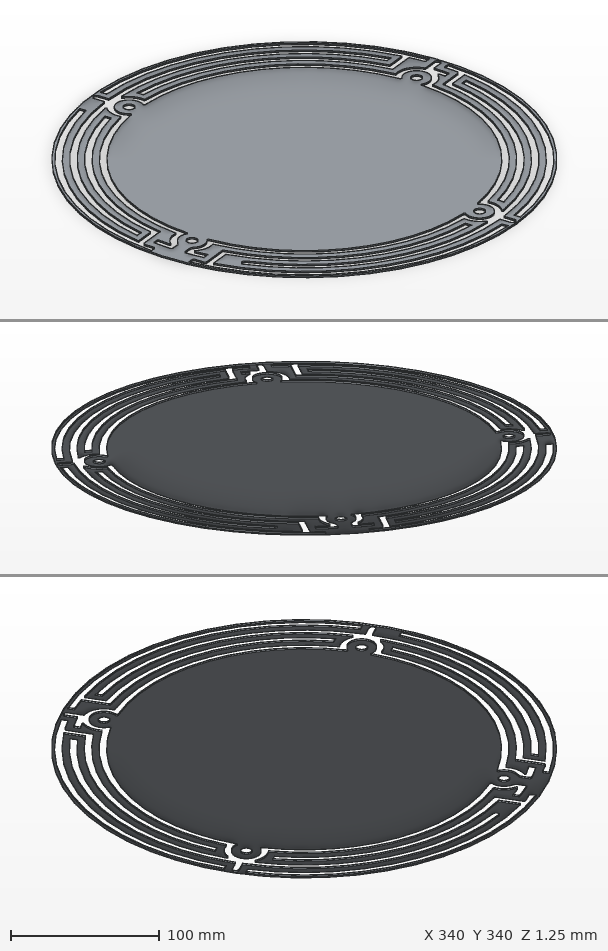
import cadquery as cq
import math

thickness = 1.25
outer_radius = 170.0
rim_radius = 168.0
core_radius = 133.0
lane_count = 7
lane_width = (rim_radius - core_radius) / lane_count

CORE_LANE = 0
INNER_LANE = 2
MIDDLE_LANE = 4
OUTER_LANE = 6

boss_center_radius = 140.0
boss_radius = 2 * lane_width
boss_hole_radius = 4.0
gap_radius = boss_radius + lane_width

half_slot = lane_width / 2
axis_bar = half_slot + lane_width
one_bar = gap_radius + lane_width
two_bars = one_bar + lane_width
three_bars = two_bars + lane_width
four_bars = three_bars + lane_width
round_slot_end = 45.0

neck_half_width = 4.8
axis_slot_tip = 168.5
ledge_y = 162.2

corner_round = 1.7
neck_blend = 5.0
tip_round = 0.7
small_round = 1.0


def lane_inner(lane):
    return core_radius + lane * lane_width


def across(radius, distance):
    """Other coordinate of the point on a circle about the origin, one coordinate being given."""
    return math.sqrt(radius**2 - distance**2)


def disc(radius, x=0, y=0):
    return cq.Workplane("XY").center(x, y).circle(radius).extrude(thickness)


def block(x_start, x_end, y_start, y_end):
    """Rectangular prism between two opposite corners."""
    return (
        cq.Workplane("XY")
        .center((x_start + x_end) / 2, (y_start + y_end) / 2)
        .rect(abs(x_end - x_start), abs(y_end - y_start))
        .extrude(thickness)
    )


def ring(lane):
    inner = lane_inner(lane)
    return disc(inner + lane_width).cut(disc(inner))


def lane_slot(lane, side_x, side_y, x_end, y_end, x_limit=outer_radius):
    """Part of a lane in one quadrant, with straight ends at the given distances from the axes."""
    window = block(side_x * x_end, side_x * x_limit, side_y * y_end, side_y * outer_radius)
    return ring(lane).intersect(window)


def cross_slot(side_x, side_y, x_start):
    """Slot parallel to Y that joins the inner and outer lanes."""
    window = block(side_x * x_start, side_x * (x_start + lane_width), 0, side_y * outer_radius)
    band = disc(lane_inner(OUTER_LANE) + half_slot).cut(disc(lane_inner(INNER_LANE)))
    return band.intersect(window)


def meander(side_x, side_y, cross_start, outer_x_end, outer_y_end):
    """Inner and outer lane joined by a cross slot into one winding slot."""
    return (
        lane_slot(INNER_LANE, side_x, side_y, cross_start, one_bar)
        .union(lane_slot(OUTER_LANE, side_x, side_y, outer_x_end, outer_y_end))
        .union(cross_slot(side_x, side_y, cross_start))
    )


def axis_slot(angle):
    """Round-ended slot along an axis, from the boss gap into the rim."""
    start = boss_center_radius
    straight_end = axis_slot_tip - half_slot
    slot = block(start, straight_end, -half_slot, half_slot).union(disc(half_slot, straight_end))
    return slot.rotate((0, 0, 0), (0, 0, 1), angle)


def round_ended_slot(x_end):
    """Middle lane of the lower right quadrant, with a fully round end."""
    radius = lane_inner(MIDDLE_LANE) + half_slot
    center_x = x_end + half_slot
    center_y = -across(radius, center_x)
    slot = lane_slot(MIDDLE_LANE, 1, -1, center_x, 0)
    return slot.union(disc(half_slot, center_x, center_y))


def round_corner(part, x, y, size):
    """Round the upright edge nearest to the given point."""
    corner = cq.NearestToPointSelector((x, y, thickness / 2))
    return part.edges("|Z").edges(corner).fillet(size)


def circle_crossing(radius, boss_circle_radius):
    """Crossing of a circle about the origin with one about a boss: (along, across) the boss axis."""
    along = (radius**2 + boss_center_radius**2 - boss_circle_radius**2) / (2 * boss_center_radius)
    return along, across(radius, along)


boss_centers = [
    (boss_center_radius, 0),
    (0, boss_center_radius),
    (-boss_center_radius, 0),
    (0, -boss_center_radius),
]

slots = ring(CORE_LANE)
for x, y in boss_centers:
    slots = slots.union(disc(gap_radius, x, y).cut(disc(core_radius)))

slots = slots.union(lane_slot(MIDDLE_LANE, -1, 1, three_bars, 0))
slots = slots.union(lane_slot(MIDDLE_LANE, 1, 1, three_bars, 0))
slots = slots.union(lane_slot(MIDDLE_LANE, -1, -1, four_bars, 0))
slots = slots.union(round_ended_slot(round_slot_end))

for angle in (0, 90, 180):
    slots = slots.union(axis_slot(angle))

stub_inner = lane_inner(MIDDLE_LANE)
stub_outer = stub_inner + lane_width

slots = slots.union(lane_slot(MIDDLE_LANE, 1, 1, 0, 0, x_limit=gap_radius))
for side in (-1, 1):
    slots = slots.union(lane_slot(MIDDLE_LANE, side, -1, neck_half_width, 0, x_limit=one_bar))

for x, y in boss_centers:
    slots = slots.cut(disc(boss_radius, x, y))
slots = slots.cut(block(-neck_half_width, neck_half_width, -boss_center_radius, -outer_radius))

slots = slots.union(meander(-1, 1, one_bar, axis_bar, axis_bar))
slots = slots.union(meander(1, 1, one_bar, axis_bar, axis_bar))
slots = slots.union(meander(-1, -1, two_bars, gap_radius, one_bar))
slots = slots.union(meander(1, -1, two_bars, gap_radius, axis_bar))

for side in (-1, 1):
    slots = slots.cut(block(side * gap_radius, side * two_bars, -stub_outer, -ledge_y))

result = disc(outer_radius).cut(slots)
for x, y in boss_centers:
    result = result.cut(disc(boss_hole_radius, x, y))

top_corner_y = across(lane_inner(OUTER_LANE), one_bar)
stub_corner_y = across(stub_outer, neck_half_width)
result = round_corner(result, one_bar, top_corner_y, corner_round)
for side in (-1, 1):
    result = round_corner(result, side * two_bars, -ledge_y, corner_round)
    result = round_corner(result, side * gap_radius, -ledge_y, corner_round)
    result = round_corner(result, side * neck_half_width, -stub_corner_y, corner_round)

for side in (-1, 1):
    end_corner_y = across(lane_inner(OUTER_LANE), axis_bar)
    result = round_corner(result, side * axis_bar, end_corner_y, small_round)

root_along, root_across = circle_crossing(core_radius, boss_radius)
for along in (-root_along, root_along):
    for offset in (-root_across, root_across):
        result = round_corner(result, along, offset, small_round)
        result = round_corner(result, offset, along, small_round)

neck_start = boss_center_radius + across(boss_radius, neck_half_width)
for x in (-neck_half_width, neck_half_width):
    result = round_corner(result, x, -neck_start, neck_blend)

tip_along, tip_across = circle_crossing(stub_inner, gap_radius)
for x in (-tip_along, tip_along):
    for y in (-tip_across, tip_across):
        result = round_corner(result, x, y, tip_round)
for x, y in ((tip_across, tip_along), (tip_across, -tip_along), (-tip_across, -tip_along)):
    result = round_corner(result, x, y, tip_round)